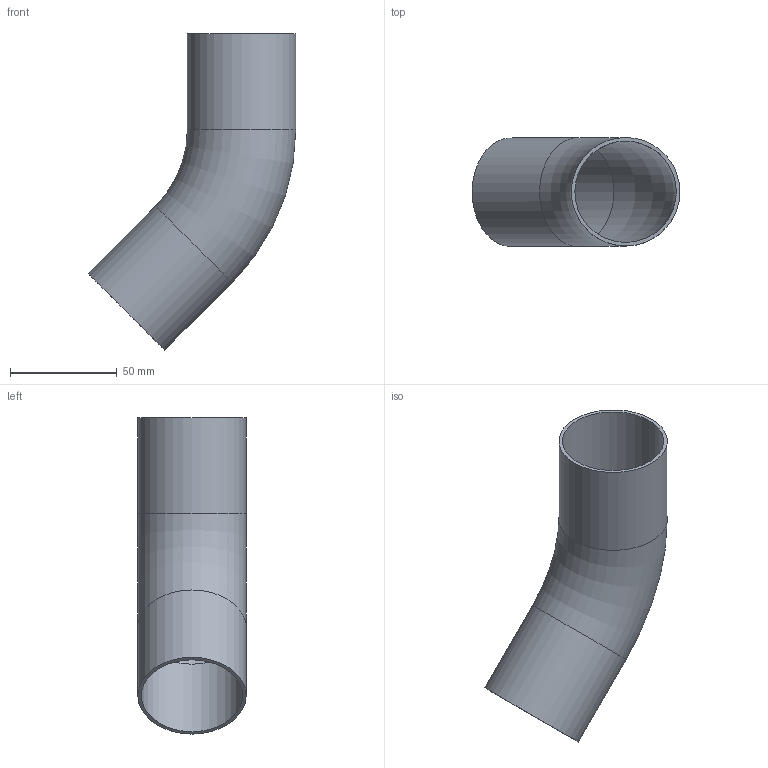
import cadquery as cq
import math

outer_diameter = 50.8
wall_thickness = 1.65
bend_angle = 45.0
bend_radius = 1.5 * outer_diameter
center_to_end = 1.5 * outer_diameter

inner_diameter = outer_diameter - 2 * wall_thickness
bend_angle_rad = math.radians(bend_angle)
tangent_length = center_to_end - bend_radius * math.tan(bend_angle_rad / 2)


def bend_point(angle):
    """Centreline point (x, z) of the bend, at an angle measured from its upper end."""
    return (bend_radius * (math.cos(angle) - 1), -bend_radius * math.sin(angle))


def centerline():
    """Path in the XZ plane: down the upper tangent, round the bend, along the lower tangent."""
    bend_middle = bend_point(bend_angle_rad / 2)
    bend_end = bend_point(bend_angle_rad)
    lower_end = (
        bend_end[0] - tangent_length * math.sin(bend_angle_rad),
        bend_end[1] - tangent_length * math.cos(bend_angle_rad),
    )
    return (
        cq.Workplane("XZ")
        .moveTo(0, tangent_length)
        .lineTo(0, 0)
        .threePointArc(bend_middle, bend_end)
        .lineTo(*lower_end)
    )


def elbow():
    """Sweep the pipe's ring section along the centreline."""
    ring = (
        cq.Workplane("XY", origin=(0, 0, tangent_length))
        .circle(outer_diameter / 2)
        .circle(inner_diameter / 2)
    )
    return ring.sweep(centerline())


result = elbow()